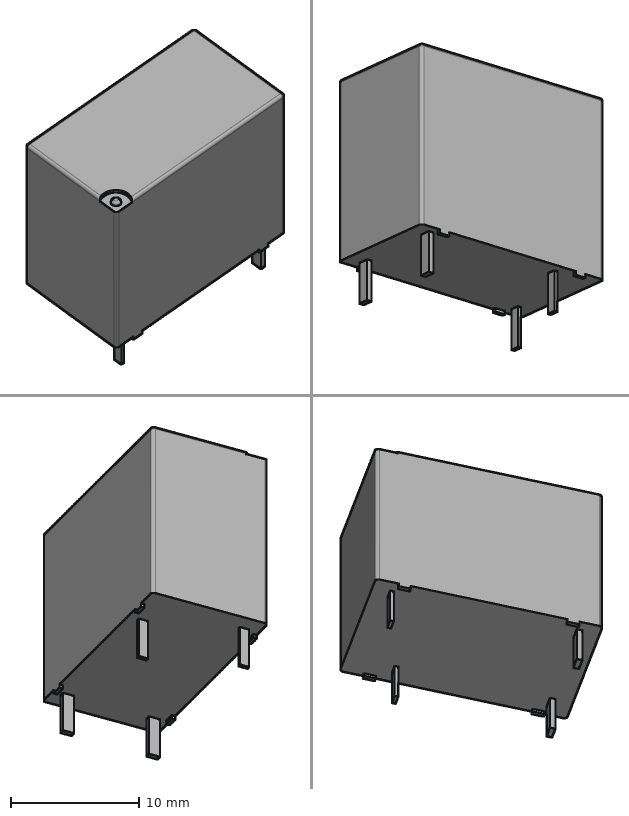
import cadquery as cq

WIDTH = 10.2
LENGTH = 18.4
TOTAL_HEIGHT = 18.7
PIN_EXPOSED = 3.42
EDGE_RADIUS = 0.28

FOOT_WIDTH = 0.3
FOOT_LENGTH = 0.97
FOOT_HEIGHT = 0.3
FOOT_END_GAP = 1.87

RECESS_RADIUS = 1.29
RECESS_INSET_X = 0.73
RECESS_INSET_Y = 0.65
RECESS_DEPTH = EDGE_RADIUS
BUTTON_DIAMETER = 0.82
BUTTON_FLAT_DIAMETER = 0.32
BUTTON_HEIGHT = 0.28
BUTTON_INSET_X = 0.88
BUTTON_INSET_Y = 0.82

PIN_INSET_X = 1.3
NARROW_PIN_WIDTH = 0.8
NARROW_PIN_THICKNESS = 0.3
WIDE_PIN_WIDTH = 0.97
WIDE_PIN_THICKNESS = 0.45
OUTER_PIN_INSET = 1.57
INNER_PIN_INSET = 4.11
WIDE_PIN_INSET = 1.65

HALF_WIDTH = WIDTH / 2
HALF_LENGTH = LENGTH / 2
PIN_X = HALF_WIDTH - PIN_INSET_X


def make_shell():
    """Solid box with rounded vertical and top edges."""
    shell = cq.Workplane("XY").workplane(offset=PIN_EXPOSED)
    shell = shell.rect(WIDTH, LENGTH).extrude(TOTAL_HEIGHT - PIN_EXPOSED)
    return shell.edges("|Z or >Z").fillet(EDGE_RADIUS)


def make_feet():
    """Four feet, flush with the long sides and mirrored about both axes."""
    foot_x = HALF_WIDTH - FOOT_WIDTH / 2
    foot_y = HALF_LENGTH - FOOT_END_GAP - FOOT_LENGTH / 2
    feet = cq.Workplane("XY").workplane(offset=PIN_EXPOSED - FOOT_HEIGHT)
    feet = feet.rect(2 * foot_x, 2 * foot_y, forConstruction=True).vertices()
    return feet.rect(FOOT_WIDTH, FOOT_LENGTH).extrude(FOOT_HEIGHT)


def make_corner_recess():
    """Cylinder that cuts the top corner down to the recess floor."""
    recess = cq.Workplane("XY").workplane(offset=TOTAL_HEIGHT - RECESS_DEPTH)
    recess = recess.center(HALF_WIDTH - RECESS_INSET_X, RECESS_INSET_Y - HALF_LENGTH)
    return recess.circle(RECESS_RADIUS).extrude(RECESS_DEPTH)


def make_button():
    """Round button standing on the recess floor, its rim rounded down to a small flat."""
    rim_radius = (BUTTON_DIAMETER - BUTTON_FLAT_DIAMETER) / 2
    button = cq.Workplane("XY").workplane(offset=TOTAL_HEIGHT - RECESS_DEPTH)
    button = button.center(HALF_WIDTH - BUTTON_INSET_X, BUTTON_INSET_Y - HALF_LENGTH)
    button = button.circle(BUTTON_DIAMETER / 2).extrude(BUTTON_HEIGHT)
    return button.faces(">Z").edges().fillet(rim_radius)


def make_housing():
    housing = make_shell().union(make_feet())
    return housing.cut(make_corner_recess()).union(make_button())


def make_pin(x, y, width, thickness):
    """Flat pin ending at the underside of the housing."""
    return cq.Workplane("XY").center(x, y).rect(width, thickness).extrude(PIN_EXPOSED)


housing = make_housing()

narrow_pins = []
for x, inset in ((-PIN_X, INNER_PIN_INSET), (PIN_X, OUTER_PIN_INSET)):
    narrow_pins.append(make_pin(x, inset - HALF_LENGTH, NARROW_PIN_WIDTH, NARROW_PIN_THICKNESS).val())

wide_pins = []
for x in (-PIN_X, PIN_X):
    wide_pins.append(make_pin(x, HALF_LENGTH - WIDE_PIN_INSET, WIDE_PIN_WIDTH, WIDE_PIN_THICKNESS).val())

result = cq.Compound.makeCompound([*housing.vals(), *narrow_pins, *wide_pins])